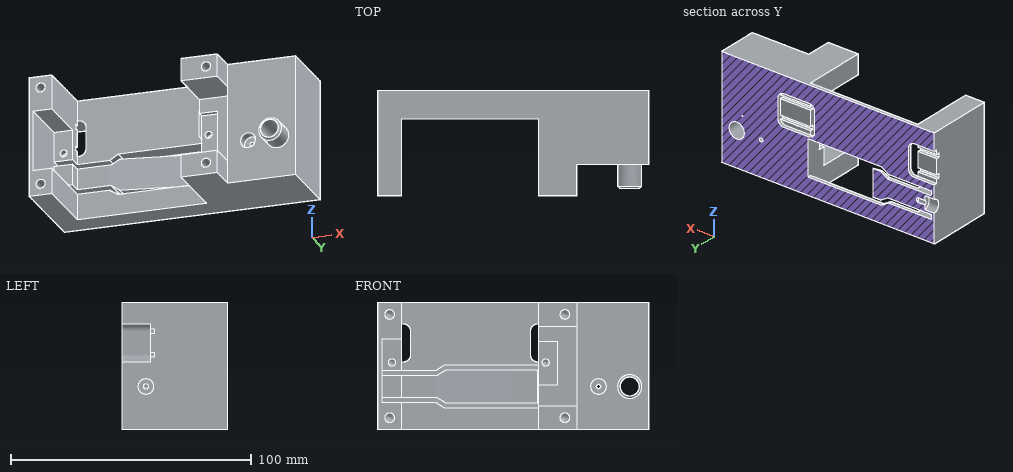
import cadquery as cq
import math

LENGTH = 113.0
DEPTH = 44.0
HEIGHT = 53.0

PLATE_THICKNESS = 12.0
LEFT_LEG_WIDTH = 10.0
RIGHT_LEG_START = 67.0
RIGHT_LEG_WIDTH = 16.0
RIGHT_LEG_END = RIGHT_LEG_START + RIGHT_LEG_WIDTH
END_BLOCK_THICKNESS = 31.0

PLATE_FRONT = DEPTH - PLATE_THICKNESS
END_BLOCK_FRONT = DEPTH - END_BLOCK_THICKNESS

RIGHT_RECESS_BOTTOM = 9.9
RIGHT_RECESS_TOP = 43.0
RIGHT_RECESS_FLOOR = 23.0
POCKET_BOTTOM = 18.7
POCKET_TOP = 36.8
POCKET_WIDTH = 8.0
SENSOR_FLOOR = 26.0
LEFT_WALL = 1.75
LEFT_RECESS_TOP = 37.8

FLOW_Z = 18.0
GROOVE_NARROW_HALF = 6.65
GROOVE_WIDE_HALF = 9.0
GROOVE_TAPER_START = 24.3
GROOVE_TAPER_LENGTH = 3.7
GROOVE_CLEARANCE = 2.05
TAPER_SHIFT = 0.5
GROOVE_FLOOR = 41.0
RAMP_START = 24.0
RAMP_END = 56.0
RAMP_ANGLE = 10.0
TONGUE_LIP_WIDTH = 0.5
TONGUE_LIP_HEIGHT = 0.1

SLOT_BOTTOM = 28.25
SLOT_HEIGHT = 15.75
SLOT_CORNER_RADIUS = 3.0
LEFT_SLOT_OVERLAP = 3.7
RIGHT_SLOT_OVERLAP = 3.3
NOTCH_HEIGHT = 1.9
NOTCH_DEPTH = 1.6

CORNER_HOLE_DIAMETER = 4.0
CORNER_HOLE_DEPTH = 10.0
CORNER_HOLE_INSET = 5.0
SENSOR_HOLE_DIAMETER = 3.0
SENSOR_HOLE_DEPTH = 4.0
SENSOR_HOLE_Z = 28.0
LEFT_SENSOR_HOLE_X = 6.0
RIGHT_SENSOR_HOLE_X = 70.0
DRILL_POINT_ANGLE = 118.0

PORT_DIAMETER = 6.5
PORT_DEPTH = 5.0
FRONT_PORT_X = 92.0
FRONT_PORT_BORE = 1.7
SIDE_PORT_FROM_BACK = 10.0
SIDE_PORT_BORE = 2.2
SIDE_PORT_BORE_DEPTH = 4.0
SPIGOT_X = 105.0
SPIGOT_DIAMETER = 10.0
SPIGOT_BORE = 7.8
SPIGOT_LENGTH = 10.0
SPIGOT_CHAMFER = 1.0


def block(x_range, y_range, z_range):
    """Box spanning the given (low, high) ranges."""
    x0, x1 = x_range
    y0, y1 = y_range
    z0, z1 = z_range
    return cq.Workplane("XY").box(x1 - x0, y1 - y0, z1 - z0, centered=False).translate((x0, y0, z0))


def rod(start, direction, diameter, length):
    """Solid cylinder from a start point along a direction."""
    return cq.Workplane(
        cq.Solid.makeCylinder(diameter / 2, length, cq.Vector(*start), cq.Vector(*direction))
    )


def drilled_hole(start, direction, diameter, depth):
    """Cutter for a blind hole with a conical drill point."""
    radius = diameter / 2
    tip = radius / math.tan(math.radians(DRILL_POINT_ANGLE / 2))
    axis = cq.Vector(*direction)
    cone = cq.Solid.makeCone(radius, 0, tip, cq.Vector(*start) + axis * depth, axis)
    return rod(start, direction, diameter, depth).union(cq.Workplane(cone))


BACKWARD = (0, 1, 0)
FORWARD = (0, -1, 0)
RIGHTWARD = (1, 0, 0)


def body():
    """Back plate, two legs and the end block as one plan outline."""
    outline = [
        (0, 0),
        (LEFT_LEG_WIDTH, 0),
        (LEFT_LEG_WIDTH, PLATE_FRONT),
        (RIGHT_LEG_START, PLATE_FRONT),
        (RIGHT_LEG_START, 0),
        (RIGHT_LEG_END, 0),
        (RIGHT_LEG_END, END_BLOCK_FRONT),
        (LENGTH, END_BLOCK_FRONT),
        (LENGTH, DEPTH),
        (0, DEPTH),
    ]
    return cq.Workplane("XY").polyline(outline).close().extrude(HEIGHT)


def leg_recesses():
    """Front recesses of both legs and the deeper sensor pocket in the right one."""
    left = block(
        (LEFT_WALL, LEFT_LEG_WIDTH),
        (0, SENSOR_FLOOR),
        (FLOW_Z - GROOVE_NARROW_HALF, LEFT_RECESS_TOP),
    )
    right = block(
        (RIGHT_LEG_START, RIGHT_LEG_END),
        (0, RIGHT_RECESS_FLOOR),
        (RIGHT_RECESS_BOTTOM, RIGHT_RECESS_TOP),
    )
    pocket = block(
        (RIGHT_LEG_START, RIGHT_LEG_START + POCKET_WIDTH),
        (0, SENSOR_FLOOR),
        (POCKET_BOTTOM, POCKET_TOP),
    )
    return left.union(right).union(pocket)


def flow_outline(inset, taper_start):
    """Prism with a bottle-shaped XZ outline, from the sensor floor to the groove floor."""
    narrow = GROOVE_NARROW_HALF - inset
    wide = GROOVE_WIDE_HALF - inset
    taper_end = taper_start + GROOVE_TAPER_LENGTH
    upper = [
        (LEFT_WALL, FLOW_Z + narrow),
        (taper_start, FLOW_Z + narrow),
        (taper_end, FLOW_Z + wide),
        (RIGHT_LEG_START, FLOW_Z + wide),
    ]
    lower = [(x, 2 * FLOW_Z - z) for x, z in reversed(upper)]
    return (
        cq.Workplane("XZ", origin=(0, SENSOR_FLOOR, 0))
        .polyline(upper + lower)
        .close()
        .extrude(SENSOR_FLOOR - GROOVE_FLOOR)
    )


def tongue():
    """Island in the groove: flush on the left, then a ramp going deeper and an end lip."""
    ramp_floor = PLATE_FRONT + (RAMP_END - RAMP_START) * math.tan(math.radians(RAMP_ANGLE))
    lip_x = RIGHT_LEG_START - TONGUE_LIP_WIDTH
    lip_top = ramp_floor - TONGUE_LIP_HEIGHT
    plan = [
        (LEFT_WALL, SENSOR_FLOOR),
        (LEFT_LEG_WIDTH, SENSOR_FLOOR),
        (LEFT_LEG_WIDTH, PLATE_FRONT),
        (RAMP_START, PLATE_FRONT),
        (RAMP_END, ramp_floor),
        (lip_x, ramp_floor),
        (lip_x, lip_top),
        (RIGHT_LEG_START, lip_top),
        (RIGHT_LEG_START, GROOVE_FLOOR),
        (LEFT_WALL, GROOVE_FLOOR),
    ]
    profile = cq.Workplane("XY").polyline(plan).close().extrude(HEIGHT)
    inner = flow_outline(GROOVE_CLEARANCE, GROOVE_TAPER_START + TAPER_SHIFT)
    return profile.intersect(inner)


def flow_groove():
    """Cutter for the groove that surrounds the tongue."""
    return flow_outline(0, GROOVE_TAPER_START).cut(tongue())


def back_slot(x_range, rounded_edges, leg_range):
    """Slot through the plate thickness, with two notches reaching further into the leg."""
    envelope = block(
        x_range,
        (PLATE_FRONT - NOTCH_DEPTH, DEPTH),
        (SLOT_BOTTOM, SLOT_BOTTOM + SLOT_HEIGHT),
    )
    envelope = envelope.edges(rounded_edges).fillet(SLOT_CORNER_RADIUS)
    openings = block(x_range, (PLATE_FRONT, DEPTH), (0, HEIGHT))
    corner_centres = (
        SLOT_BOTTOM + SLOT_CORNER_RADIUS,
        SLOT_BOTTOM + SLOT_HEIGHT - SLOT_CORNER_RADIUS,
    )
    for z in corner_centres:
        notch = block(
            leg_range,
            (PLATE_FRONT - NOTCH_DEPTH, DEPTH),
            (z - NOTCH_HEIGHT / 2, z + NOTCH_HEIGHT / 2),
        )
        openings = openings.union(notch)
    return envelope.intersect(openings)


def screw_holes():
    """Blind holes in the leg corners and in the two sensor floors."""
    holes = cq.Workplane("XY")
    for x in (CORNER_HOLE_INSET, RIGHT_LEG_END - CORNER_HOLE_INSET):
        for z in (CORNER_HOLE_INSET, HEIGHT - CORNER_HOLE_INSET):
            holes = holes.add(drilled_hole((x, 0, z), BACKWARD, CORNER_HOLE_DIAMETER, CORNER_HOLE_DEPTH))
    for x in (LEFT_SENSOR_HOLE_X, RIGHT_SENSOR_HOLE_X):
        start = (x, SENSOR_FLOOR, SENSOR_HOLE_Z)
        holes = holes.add(drilled_hole(start, BACKWARD, SENSOR_HOLE_DIAMETER, SENSOR_HOLE_DEPTH))
    return holes.combine()


def ports():
    """Counterbored port through the end block and a blind one in the left side."""
    front = (FRONT_PORT_X, END_BLOCK_FRONT, FLOW_Z)
    side = (0, DEPTH - SIDE_PORT_FROM_BACK, FLOW_Z)
    front_port = rod(front, BACKWARD, PORT_DIAMETER, PORT_DEPTH)
    front_bore = rod(front, BACKWARD, FRONT_PORT_BORE, END_BLOCK_THICKNESS)
    side_port = rod(side, RIGHTWARD, PORT_DIAMETER, PORT_DEPTH)
    side_bore = drilled_hole(side, RIGHTWARD, SIDE_PORT_BORE, PORT_DEPTH + SIDE_PORT_BORE_DEPTH)
    return front_port.union(front_bore).union(side_port).union(side_bore)


def spigot():
    """Chamfered round spigot on the front of the end block."""
    pin = rod((SPIGOT_X, END_BLOCK_FRONT, FLOW_Z), FORWARD, SPIGOT_DIAMETER, SPIGOT_LENGTH)
    return pin.faces("<Y").chamfer(SPIGOT_CHAMFER)


def spigot_bore():
    """Bore through the spigot and the end block."""
    start = (SPIGOT_X, DEPTH, FLOW_Z)
    return rod(start, FORWARD, SPIGOT_BORE, END_BLOCK_THICKNESS + SPIGOT_LENGTH)


left_slot_range = (0, LEFT_LEG_WIDTH + LEFT_SLOT_OVERLAP)
right_slot_range = (RIGHT_LEG_START - RIGHT_SLOT_OVERLAP, RIGHT_LEG_END)

result = body().union(spigot())
result = result.cut(leg_recesses())
result = result.cut(flow_groove())
result = result.cut(back_slot(left_slot_range, "|Y and >X", (0, LEFT_LEG_WIDTH)))
result = result.cut(back_slot(right_slot_range, "|Y", (RIGHT_LEG_START, RIGHT_LEG_END)))
result = result.cut(screw_holes())
result = result.cut(ports())
result = result.cut(spigot_bore())